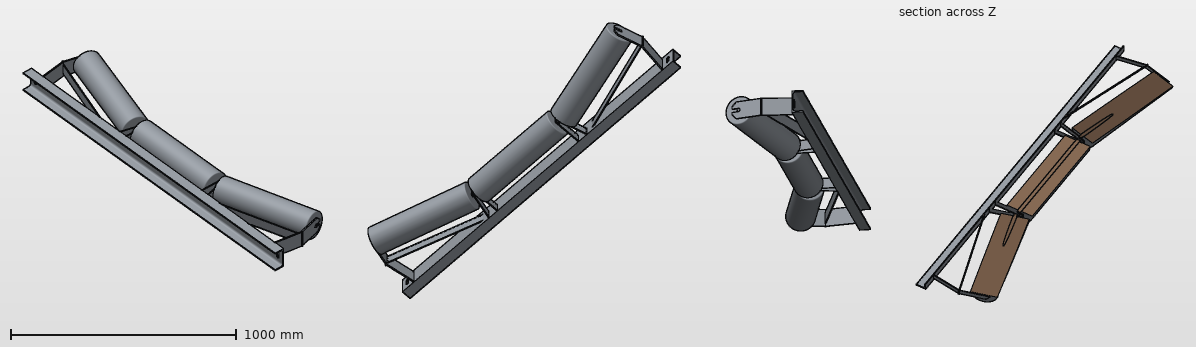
import cadquery as cq
import math


channel_length = 1700.0
channel_depth = 50.0
channel_width = 100.0
channel_wall = 6.0
channel_fillet = 10.0
mount_slot_width = 15.0
mount_slot_length = 39.0
mount_slot_x = 818.0

roller_length = 500.0
roller_radius = 66.5
roller_rounding = 5.0
shaft_diameter = 15.0
trough_angle = math.radians(15)
roller_drop = 20.0
center_height = 172.0
wing_inner_x = 286.5
forward_tilt = math.asin(roller_drop / roller_length)

outer_width = 78.0
outer_thickness = 7.0
outer_gap = 2.0
outer_bend_y = 194.0
outer_top_y = 332.0
outer_base_x = 780.0
outer_chamfer = 19.0
inner_width = 46.0
inner_thickness = 5.0
inner_gap = 9.4
inner_leg_x = 255.0
inner_bend_radius = 7.3
brace_width = 51.0
brace_thickness = 5.0
ridge_overhang = 3.0
brace_base_x = 342.0

web_middle_y = channel_depth - channel_wall / 2
sin_trough = math.sin(trough_angle)
cos_trough = math.cos(trough_angle)
tan_trough = math.tan(trough_angle)

wing_plane = cq.Plane(
    origin=(wing_inner_x, center_height, -roller_drop),
    xDir=(-sin_trough, cos_trough, 0),
    normal=(
        cos_trough * math.cos(forward_tilt),
        sin_trough * math.cos(forward_tilt),
        math.sin(forward_tilt),
    ),
)
center_plane = cq.Plane(
    origin=(-roller_length / 2, center_height, -roller_drop),
    xDir=(0, 1, 0),
    normal=(1, 0, 0),
)

center_reach = inner_leg_x + inner_thickness / 2 - roller_length / 2
wing_inner_reach = inner_gap + inner_thickness
wing_outer_reach = outer_gap + outer_thickness


def mirrored(body):
    """Copy of a body on the other side of the middle of the channel."""
    return body.mirror("YZ")


def make_roller(plane):
    """Roller with rounded rims and a through bore for its shaft."""
    roller = cq.Workplane(plane).circle(roller_radius).extrude(roller_length)
    roller = roller.edges().fillet(roller_rounding)
    bore = cq.Workplane(plane).circle(shaft_diameter / 2).extrude(roller_length)
    return roller.cut(bore)


def make_shaft(plane, start_reach, end_reach):
    """Plain round shaft that sticks out of both roller ends."""
    length = start_reach + roller_length + end_reach
    return cq.Workplane(plane).workplane(offset=-start_reach).circle(shaft_diameter / 2).extrude(length)


def make_shaft_slot(plane, start, length):
    """Cutter for a round-bottomed slot, open at the top, in a bracket leg."""
    slot_plane = cq.Workplane(plane).workplane(offset=start)
    seat = slot_plane.circle(shaft_diameter / 2).extrude(length)
    mouth_height = 2 * roller_radius
    mouth = slot_plane.center(mouth_height / 2, 0).rect(mouth_height, shaft_diameter).extrude(length)
    return seat.union(mouth)


def sweep_strip(path, start, direction, width, thickness):
    """Flat strip, centred on Z = 0, that follows a path in the XY plane."""
    section_plane = cq.Plane(origin=(*start, 0), xDir=(0, 0, 1), normal=(*direction, 0))
    section = cq.Workplane(section_plane).rect(width, thickness)
    return section.sweep(path, transition="right")


def make_channel():
    """Channel with its web on top and an upright mounting slot near each end."""
    end_plane = cq.Workplane("YZ", origin=(-channel_length / 2, 0, 0))
    outside = end_plane.center(channel_depth / 2, 0).rect(channel_depth, channel_width)
    channel = outside.extrude(channel_length)
    cavity_depth = channel_depth - channel_wall
    cavity = end_plane.center(cavity_depth / 2, 0).rect(cavity_depth, channel_width - 2 * channel_wall)
    cavity = cavity.extrude(channel_length).edges("|X and >Y").fillet(channel_fillet)
    slots = (
        cq.Workplane("XZ")
        .pushPoints([(-mount_slot_x, 0), (mount_slot_x, 0)])
        .slot2D(mount_slot_length, mount_slot_width, 90)
        .extrude(-channel_depth)
    )
    return channel.cut(cavity).cut(slots)


def outer_leg_x(y):
    """X of the middle of the leaning outer bracket leg at height y."""
    reach = roller_length * math.cos(forward_tilt) + outer_gap + outer_thickness / 2
    seat_x = wing_inner_x + reach * cos_trough
    seat_y = center_height + reach * sin_trough
    return seat_x - (y - seat_y) * tan_trough


def make_outer_bracket():
    """Bent strip at the outer end of a wing roller, with chamfered top corners."""
    base = (outer_base_x, web_middle_y)
    bend = (outer_leg_x(outer_bend_y), outer_bend_y)
    top = (outer_leg_x(outer_top_y), outer_top_y)
    path = cq.Workplane("XY").polyline([base, bend, top])
    direction = (bend[0] - base[0], bend[1] - base[1])
    bracket = sweep_strip(path, base, direction, outer_width, outer_thickness)
    top_corners = bracket.faces(">Y").edges("<Z or >Z")
    bracket = top_corners.chamfer(outer_chamfer)
    return bracket.cut(make_shaft_slot(wing_plane, roller_length, 2 * wing_outer_reach))


def make_inner_bracket():
    """Strip folded over between two rollers: an upright leg and a leaning leg."""
    bend_x = inner_leg_x + inner_bend_radius
    lean_x = bend_x + inner_bend_radius / cos_trough
    seat_x = wing_inner_x - (inner_gap + inner_thickness / 2) * cos_trough
    seat_y = center_height - (inner_gap + inner_thickness / 2) * sin_trough
    bend_y = seat_y + (seat_x - lean_x) / tan_trough
    bend_end = (bend_x + inner_bend_radius * cos_trough, bend_y + inner_bend_radius * sin_trough)
    lean_base_x = bend_end[0] + (bend_end[1] - web_middle_y) * tan_trough
    path = (
        cq.Workplane("XY")
        .moveTo(inner_leg_x, web_middle_y)
        .lineTo(inner_leg_x, bend_y)
        .threePointArc((bend_x, bend_y + inner_bend_radius), bend_end)
        .lineTo(lean_base_x, web_middle_y)
    )
    bracket = sweep_strip(path, (inner_leg_x, web_middle_y), (0, 1), inner_width, inner_thickness)
    bracket = bracket.translate((0, 0, -roller_drop))
    lean_slot = make_shaft_slot(wing_plane, -wing_inner_reach, wing_inner_reach)
    upright_slot = make_shaft_slot(center_plane, roller_length, center_reach)
    return bracket.cut(lean_slot).cut(upright_slot)


def make_brace():
    """Straight strip from the channel up to the bend of the outer bracket."""
    base = (brace_base_x, web_middle_y)
    bend = (outer_leg_x(outer_bend_y), outer_bend_y)
    direction = (bend[0] - base[0], bend[1] - base[1])
    path = cq.Workplane("XY").moveTo(*base).lineTo(*bend)
    return sweep_strip(path, base, direction, brace_width, brace_thickness)


def make_bend_ridge():
    """Low ridge across the outside of the outer bracket bend, in line with the brace."""
    bend = (outer_leg_x(outer_bend_y), outer_bend_y)
    direction = (bend[0] - brace_base_x, bend[1] - web_middle_y)
    stretch = (outer_thickness / 2 + ridge_overhang) / math.hypot(*direction)
    tip = (bend[0] + direction[0] * stretch, bend[1] + direction[1] * stretch)
    path = cq.Workplane("XY").moveTo(*bend).lineTo(*tip)
    return sweep_strip(path, bend, direction, outer_width, brace_thickness)


frame = make_channel()
for part in (make_outer_bracket(), make_inner_bracket(), make_brace(), make_bend_ridge()):
    frame = frame.union(part).union(mirrored(part))

wing_roller = make_roller(wing_plane)
wing_shaft = make_shaft(wing_plane, wing_inner_reach, wing_outer_reach)
rollers = [wing_roller, mirrored(wing_roller), make_roller(center_plane)]
shafts = [wing_shaft, mirrored(wing_shaft), make_shaft(center_plane, center_reach, center_reach)]

bodies = [frame, *rollers, *shafts]
result = cq.Compound.makeCompound([body.solids().val() for body in bodies])